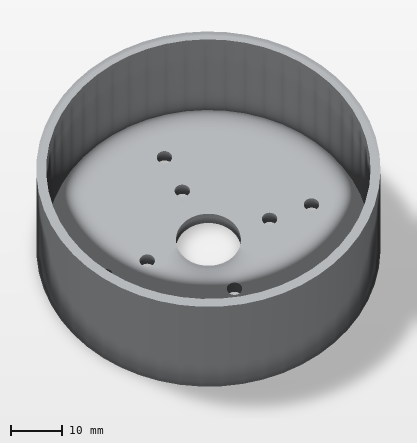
import cadquery as cq

outer_diameter = 67.28
inner_diameter = 63.4
height = 26.0
floor_thickness = 3.0

center_hole_diameter = 12.7
screw_hole_diameter = 3.0
inner_bolt_circle_diameter = 26.0
outer_bolt_circle_diameter = 43.8
screws_per_circle = 4
first_screw_angle = 45.0


def make_cup():
    """Round cup, open at the top, standing on Z = 0."""
    body = cq.Workplane("XY").circle(outer_diameter / 2).extrude(height)
    cavity = (
        cq.Workplane("XY")
        .workplane(offset=floor_thickness)
        .circle(inner_diameter / 2)
        .extrude(height - floor_thickness)
    )
    return body.cut(cavity)


def make_center_hole():
    """Cutter for the central hole through the floor."""
    return cq.Workplane("XY").circle(center_hole_diameter / 2).extrude(floor_thickness)


def make_screw_holes(bolt_circle_diameter):
    """Cutters for one ring of screw holes through the floor."""
    return (
        cq.Workplane("XY")
        .polarArray(bolt_circle_diameter / 2, first_screw_angle, 360, screws_per_circle)
        .circle(screw_hole_diameter / 2)
        .extrude(floor_thickness)
    )


result = make_cup().cut(make_center_hole())
for circle_diameter in (inner_bolt_circle_diameter, outer_bolt_circle_diameter):
    result = result.cut(make_screw_holes(circle_diameter))